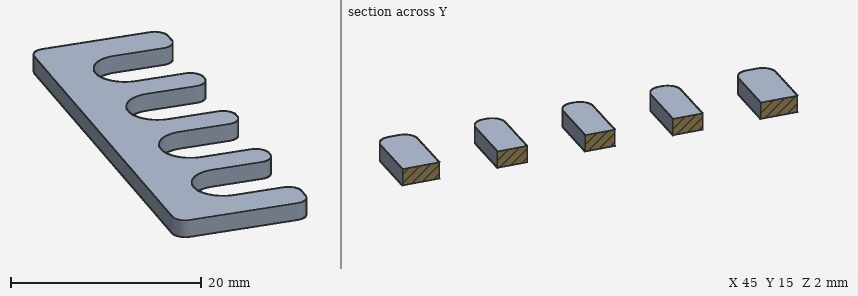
import cadquery as cq

length = 45.0
width = 15.0
thickness = 2.0
corner_radius = 1.5

slot_count = 4
slot_pitch = 10.0
slot_width = 6.6
slot_depth = 10.35
slot_radius = slot_width / 2


def make_plate():
    """Flat plate centred in X and Y, resting on Z = 0."""
    return cq.Workplane("XY").box(length, width, thickness, centered=(True, True, False))


def make_slot(x_center):
    """Round-bottomed slot cutter, open at the +Y edge."""
    edge_y = width / 2
    arc_center_y = edge_y - slot_depth + slot_radius
    return (
        cq.Workplane("XY")
        .moveTo(x_center - slot_radius, edge_y)
        .lineTo(x_center - slot_radius, arc_center_y)
        .threePointArc(
            (x_center, edge_y - slot_depth),
            (x_center + slot_radius, arc_center_y),
        )
        .lineTo(x_center + slot_radius, edge_y)
        .close()
        .extrude(thickness)
    )


plate = make_plate()
for index in range(slot_count):
    slot_x = (index - (slot_count - 1) / 2) * slot_pitch
    plate = plate.cut(make_slot(slot_x))

tip_edges = plate.faces(">Y").edges("|Z")
base_edges = plate.faces("<Y").edges("|Z")
result = plate.newObject(tip_edges.vals() + base_edges.vals()).fillet(corner_radius)